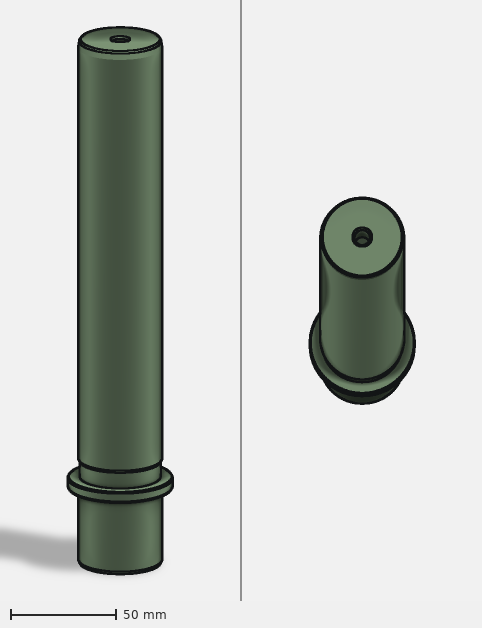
import cadquery as cq

total_length = 261.0
shaft_radius = 20.0
neck_radius = 19.3
collar_radius = 25.0

collar_bottom = 37.3
collar_thickness = 5.5
collar_top = collar_bottom + collar_thickness
neck_top = 50.6

end_chamfer_radial = 0.8
end_chamfer_height = 1.5

relief_radius = 18.8
relief_height = 1.5
shoulder_height = 1.3

collar_chamfer_radial = 0.5
collar_chamfer_height = 0.8

tip_taper_start = total_length - 4.2
tip_radius = shaft_radius - 0.5
tip_chamfer_radial = 0.8
tip_chamfer_height = 1.0

hole_radius = 3.7
hole_depth = 15.7
hole_chamfer = 1.0


def pin_profile():
    """Half section of the pin, listed from the lower end to the upper end."""
    collar_face_radius = collar_radius - collar_chamfer_radial
    return [
        (0, 0),
        (shaft_radius - end_chamfer_radial, 0),
        (shaft_radius, end_chamfer_height),
        (shaft_radius, collar_bottom - relief_height),
        (relief_radius, collar_bottom),
        (collar_face_radius, collar_bottom),
        (collar_radius, collar_bottom + collar_chamfer_height),
        (collar_radius, collar_top - collar_chamfer_height),
        (collar_face_radius, collar_top),
        (neck_radius, collar_top),
        (neck_radius, neck_top),
        (shaft_radius, neck_top + shoulder_height),
        (shaft_radius, tip_taper_start),
        (tip_radius, total_length - tip_chamfer_height),
        (tip_radius - tip_chamfer_radial, total_length),
        (0, total_length),
    ]


def hole_profile():
    """Half section of the chamfered blind hole in the upper end."""
    floor = total_length - hole_depth
    return [
        (0, floor),
        (hole_radius, floor),
        (hole_radius, total_length - hole_chamfer),
        (hole_radius + hole_chamfer, total_length),
        (0, total_length),
    ]


def revolve_profile(points):
    """Turn a half section of (radius, height) points about the Z axis."""
    return cq.Workplane("XZ").polyline(points).close().revolve(360, (0, 0, 0), (0, 1, 0))


pin = revolve_profile(pin_profile())
centre_hole = revolve_profile(hole_profile())
result = pin.cut(centre_hole)